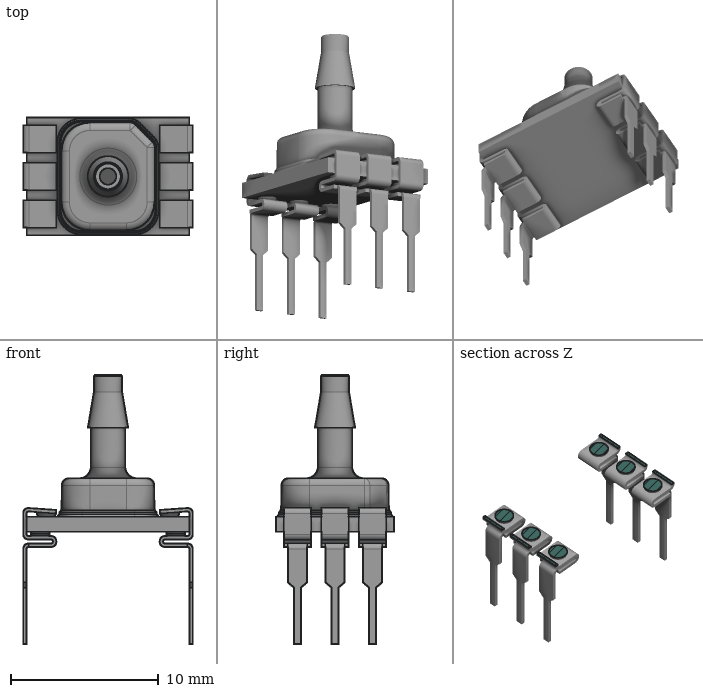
import cadquery as cq
import math


overall_height = 18.25

board_length = 11.0
board_width = 8.0
board_thickness = 1.03

flange_half_x = 3.43
flange_half_y = 3.93
flange_corner_radius = 1.65
flange_key_leg = 1.6
flange_key_blend = 1.15
skirt_height = 0.18
skirt_inset = 0.14
band_height = 0.11
rim_height = 0.13
rim_inset = 0.1

cap_half_x = 3.16
cap_half_y = 3.66
cap_corner_radius = 1.93
cap_key_leg = 1.46
cap_key_blend = 0.55
cap_draft = 1.1
cap_top = 2.61
cap_edge_radius = 0.5

port_top = 9.62
tube_radius = 1.175
tube_root_fillet = 0.75
barb_radius = 1.37
barb_bottom = 6.03
barb_top = 8.45
tip_radius = 0.96
tip_chamfer = 0.1
bore_radius = 0.56

lead_count_per_side = 3
lead_pitch = 2.54
lead_thickness = 0.25
lead_wide = 1.85
lead_middle = 1.3
lead_pin = 0.48
lead_bottom = port_top - overall_height
bend_radius = 0.25
arm_slope = math.radians(4)
arm_tip_x = -3.5
arm_bend_z = 0.22
fold_top_z = -1.425
fold_gap = 0.26
fold_end_x = -3.865
taper_top = -4.45
taper_bottom = -4.8

upper_solder_x = -4.18
upper_solder_radius = 0.6
upper_solder_top_radius = 0.66
upper_solder_height = 0.33
lower_solder_x = -4.59
lower_solder_radius = 0.61
lower_solder_ridge_radius = 0.65
lower_solder_ridge_depth = 0.11

lead_x = -(board_length + lead_thickness) / 2
bend_x = lead_x + bend_radius
fold_bottom_z = fold_top_z - fold_gap - lead_thickness
pin_bend_z = fold_bottom_z - bend_radius
flange_top = skirt_height + band_height + rim_height


def keyed_block(half_x, half_y, radius, key_leg, key_blend, base_z, height, draft=0.0):
    """Rounded rectangular block whose +X +Y corner is bevelled and softly blended."""
    key_tangent = key_blend * math.tan(math.radians(45) / 2)
    key_x = half_x - key_leg
    key_y = half_y - key_leg
    diagonal = key_tangent * math.sqrt(0.5)
    return (
        cq.Workplane("XY", origin=(0, 0, base_z))
        .moveTo(-half_x + radius, -half_y)
        .lineTo(half_x - radius, -half_y)
        .radiusArc((half_x, -half_y + radius), -radius)
        .lineTo(half_x, key_y - key_tangent)
        .radiusArc((half_x - diagonal, key_y + diagonal), -key_blend)
        .lineTo(key_x + diagonal, half_y - diagonal)
        .radiusArc((key_x - key_tangent, half_y), -key_blend)
        .lineTo(-half_x + radius, half_y)
        .radiusArc((-half_x, half_y - radius), -radius)
        .lineTo(-half_x, -half_y + radius)
        .radiusArc((-half_x + radius, -half_y), -radius)
        .close()
        .extrude(height, taper=draft)
    )


def make_board():
    return cq.Workplane("XY").box(
        board_length, board_width, board_thickness, centered=(True, True, False)
    ).translate((0, 0, -board_thickness))


def flange_layer(inset, base_z, height, top_inset):
    """One flange layer, its outline moved in by inset and narrowing by top_inset more."""
    key_inset = inset * (2 - math.sqrt(2))
    return keyed_block(
        flange_half_x - inset,
        flange_half_y - inset,
        flange_corner_radius - inset,
        flange_key_leg - key_inset,
        flange_key_blend - inset,
        base_z,
        height,
        math.degrees(math.atan2(top_inset, height)),
    )


def make_flange():
    skirt = flange_layer(0, 0, skirt_height, skirt_inset)
    band = flange_layer(skirt_inset, skirt_height, band_height, 0)
    rim = flange_layer(skirt_inset, skirt_height + band_height, rim_height, rim_inset)
    return skirt.union(band).union(rim)


def make_cap():
    cap = keyed_block(
        cap_half_x,
        cap_half_y,
        cap_corner_radius,
        cap_key_leg,
        cap_key_blend,
        flange_top,
        cap_top - flange_top,
        cap_draft,
    )
    return cap.faces(">Z").edges().fillet(cap_edge_radius)


def make_port():
    """Revolved hose port with a flared root, a barb and a chamfered tip."""
    return (
        cq.Workplane("XZ")
        .moveTo(0, flange_top)
        .lineTo(tube_radius + tube_root_fillet, flange_top)
        .lineTo(tube_radius + tube_root_fillet, cap_top)
        .radiusArc((tube_radius, cap_top + tube_root_fillet), tube_root_fillet)
        .lineTo(tube_radius, barb_bottom)
        .lineTo(barb_radius, barb_bottom)
        .lineTo(tip_radius, barb_top)
        .lineTo(tip_radius, port_top - tip_chamfer)
        .lineTo(tip_radius - tip_chamfer, port_top)
        .lineTo(0, port_top)
        .close()
        .revolve(360, (0, 0), (0, 1))
    )


def make_bore():
    """Pressure bore from the port tip down to the board surface."""
    return cq.Workplane("XY").circle(bore_radius).extrude(port_top)


def make_clip():
    """Wide part of a lead: sloping arm, wrap around the board edge and hairpin fold."""
    bend_end = (
        bend_x + bend_radius * math.sin(arm_slope),
        arm_bend_z + bend_radius * math.cos(arm_slope),
    )
    tip_z = bend_end[1] - (arm_tip_x - bend_end[0]) * math.tan(arm_slope)
    hairpin_radius = (fold_top_z - fold_bottom_z) / 2
    path = (
        cq.Workplane("XZ")
        .moveTo(bend_x, fold_bottom_z)
        .lineTo(fold_end_x, fold_bottom_z)
        .radiusArc((fold_end_x, fold_top_z), -hairpin_radius)
        .lineTo(bend_x, fold_top_z)
        .radiusArc((lead_x, fold_top_z + bend_radius), bend_radius)
        .lineTo(lead_x, arm_bend_z)
        .radiusArc(bend_end, bend_radius)
        .lineTo(arm_tip_x, tip_z)
    )
    section = cq.Workplane("YZ", origin=(bend_x, 0, fold_bottom_z)).rect(lead_wide, lead_thickness)
    return section.sweep(path)


def make_pin():
    """Narrow part of a lead: bend down from the fold, then a blade tapering to the pin."""
    path = (
        cq.Workplane("XZ")
        .moveTo(bend_x, fold_bottom_z)
        .radiusArc((lead_x, pin_bend_z), -bend_radius)
    )
    section = cq.Workplane("YZ", origin=(bend_x, 0, fold_bottom_z)).rect(lead_middle, lead_thickness)
    bend = section.sweep(path)
    blade = (
        cq.Workplane("YZ", origin=(lead_x - lead_thickness / 2, 0, 0))
        .polyline([
            (-lead_middle / 2, pin_bend_z),
            (-lead_middle / 2, taper_top),
            (-lead_pin / 2, taper_bottom),
            (-lead_pin / 2, lead_bottom),
            (lead_pin / 2, lead_bottom),
            (lead_pin / 2, taper_bottom),
            (lead_middle / 2, taper_top),
            (lead_middle / 2, pin_bend_z),
        ])
        .close()
        .extrude(lead_thickness)
    )
    return bend.union(blade)


def make_upper_solder():
    """Joint that widens upwards into the sloping arm."""
    return (
        cq.Workplane("XZ", origin=(upper_solder_x, 0, 0))
        .polyline([
            (0, 0),
            (upper_solder_radius, 0),
            (upper_solder_top_radius, upper_solder_height),
            (0, upper_solder_height),
        ])
        .close()
        .revolve(360, (0, 0), (0, 1))
    )


def make_lower_solder():
    """Joint with a ridge round its side, between the board underside and the fold."""
    top_z = -board_thickness
    bottom_z = fold_top_z + lead_thickness / 2
    return (
        cq.Workplane("XZ", origin=(lower_solder_x, 0, 0))
        .polyline([
            (0, bottom_z),
            (lower_solder_radius, bottom_z),
            (lower_solder_ridge_radius, top_z - lower_solder_ridge_depth),
            (lower_solder_radius, top_z),
            (0, top_z),
        ])
        .close()
        .revolve(360, (0, 0), (0, 1))
    )


def make_lead():
    return make_clip().union(make_pin()).union(make_upper_solder()).union(make_lower_solder())


result = make_board().union(make_flange()).union(make_cap()).union(make_port()).cut(make_bore())

left_lead = make_lead()
right_lead = left_lead.mirror("YZ")
for index in range(lead_count_per_side):
    lead_y = (index - (lead_count_per_side - 1) / 2) * lead_pitch
    for lead in (left_lead, right_lead):
        result = result.union(lead.translate((0, lead_y, 0)))